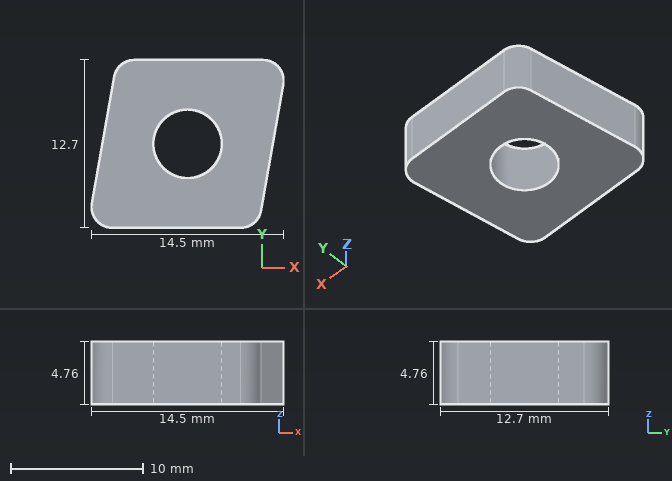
import cadquery as cq
import math

inscribed_circle = 12.7
acute_angle = 80.0
corner_radius = 1.5875
thickness = 4.76
hole_diameter = 5.16

side_length = inscribed_circle / math.sin(math.radians(acute_angle))
lean = inscribed_circle / math.tan(math.radians(acute_angle))


def rhombus_plate():
    """Rhombus centred on the origin, two sides along X, with rounded corners."""
    right = (side_length + lean) / 2
    inner_right = (side_length - lean) / 2
    half_height = inscribed_circle / 2
    corners = [
        (-right, -half_height),
        (inner_right, -half_height),
        (right, half_height),
        (-inner_right, half_height),
    ]
    plate = cq.Workplane("XY").polyline(corners).close().extrude(thickness)
    return plate.edges("|Z").fillet(corner_radius)


def clamping_hole():
    """Cylinder that passes through the full thickness."""
    return cq.Workplane("XY").circle(hole_diameter / 2).extrude(thickness)


result = rhombus_plate().cut(clamping_hole())